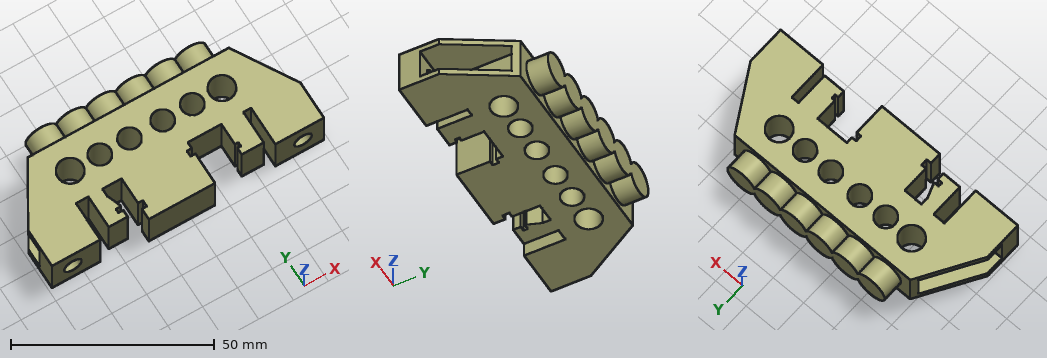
import cadquery as cq

length = 78.0
total_depth = 35.8
thickness = 12.5

body_top = 29.8
top_half_width = 28.85
shoulder_y = 12.55
foot_y = 1.4
hook_y = 3.3
slot_top = 12.95

left_foot_x = -25.1
left_hook_outer_x = -21.6
left_hook_root_x = -17.55
left_hook_tip_x = -16.15
block_left_x = -12.1
block_right_x = 6.95
right_hook_inner_x = 16.5
right_hook_outer_x = 22.85
right_foot_x = 25.0

barb_start_y = 10.7
barb_end_y = 6.95

hook_notch_bottom = 5.4
hook_notch_top = 6.55
right_hook_notch_depth = 1.0
block_notch_depth = 1.4
left_block_notch_bottom = 3.3
left_block_notch_top = 5.15
right_block_notch_bottom = 9.35
right_block_notch_top = 11.1

boss_count = 6
boss_pitch = 8.5
boss_diameter = 9.1

wire_hole_y = 21.3
small_hole_diameter = 6.0
large_hole_diameter = 7.0
wire_hole_inner_x = 4.75

mount_hole_diameter = 5.0
mount_hole_x = length / 2 - 6.0
wall = 1.9
pocket_bottom = 7.25
pocket_inner_x = 27.5


def make_body():
    half = length / 2
    left_block_notch_x = block_left_x + block_notch_depth
    right_block_notch_x = block_right_x - block_notch_depth
    right_hook_notch_x = right_hook_inner_x + right_hook_notch_depth
    outline = [
        (-top_half_width, body_top),
        (-half, shoulder_y),
        (-half, foot_y),
        (left_foot_x, foot_y),
        (left_foot_x, slot_top),
        (left_hook_outer_x, slot_top),
        (left_hook_outer_x, hook_y),
        (left_hook_tip_x, hook_y),
        (left_hook_tip_x, hook_notch_bottom),
        (left_hook_root_x, hook_notch_bottom),
        (left_hook_root_x, hook_notch_top),
        (left_hook_tip_x, hook_notch_top),
        (left_hook_tip_x, barb_end_y),
        (left_hook_root_x, barb_start_y),
        (left_hook_root_x, slot_top),
        (block_left_x, slot_top),
        (block_left_x, left_block_notch_top),
        (left_block_notch_x, left_block_notch_top),
        (left_block_notch_x, left_block_notch_bottom),
        (block_left_x, left_block_notch_bottom),
        (block_left_x, 0),
        (block_right_x, 0),
        (block_right_x, right_block_notch_bottom),
        (right_block_notch_x, right_block_notch_bottom),
        (right_block_notch_x, right_block_notch_top),
        (block_right_x, right_block_notch_top),
        (block_right_x, slot_top),
        (right_hook_inner_x, slot_top),
        (right_hook_inner_x, hook_notch_top),
        (right_hook_notch_x, hook_notch_top),
        (right_hook_notch_x, hook_notch_bottom),
        (right_hook_inner_x, hook_notch_bottom),
        (right_hook_inner_x, hook_y),
        (right_hook_outer_x, hook_y),
        (right_hook_outer_x, slot_top),
        (right_foot_x, slot_top),
        (right_foot_x, foot_y),
        (half, foot_y),
        (half, shoulder_y),
        (top_half_width, body_top),
    ]
    return cq.Workplane("XY").polyline(outline).close().extrude(thickness / 2, both=True)


def cylinder_along_y(x, diameter, start_y, end_y):
    plane = cq.Plane(origin=(x, start_y, 0), xDir=(1, 0, 0), normal=(0, 1, 0))
    return cq.Workplane(plane).circle(diameter / 2).extrude(end_y - start_y)


def add_bosses(body):
    boss_root_y = body_top - wall / 2
    for index in range(boss_count):
        x = (index - (boss_count - 1) / 2) * boss_pitch
        body = body.union(cylinder_along_y(x, boss_diameter, boss_root_y, total_depth))
    return body


def cut_wire_holes(body):
    diameters = [small_hole_diameter, small_hole_diameter, large_hole_diameter]
    for side in (-1, 1):
        for index, diameter in enumerate(diameters):
            x = side * (wire_hole_inner_x + index * boss_pitch)
            hole = cq.Workplane("XY").center(x, wire_hole_y).circle(diameter / 2)
            body = body.cut(hole.extrude(thickness, both=True))
    return body


def cut_end_pockets(body):
    pocket_length = length / 2 - pocket_inner_x
    pocket_height = body_top - wall - pocket_bottom
    for side in (-1, 1):
        center_x = side * (pocket_inner_x + pocket_length / 2)
        center_y = pocket_bottom + pocket_height / 2
        pocket = cq.Workplane("XY").center(center_x, center_y)
        body = body.cut(pocket.box(pocket_length, pocket_height, thickness - 2 * wall))
    return body


def cut_mount_holes(body):
    for side in (-1, 1):
        body = body.cut(cylinder_along_y(side * mount_hole_x, mount_hole_diameter, 0, shoulder_y))
    return body


result = make_body()
result = add_bosses(result)
result = cut_wire_holes(result)
result = cut_end_pockets(result)
result = cut_mount_holes(result)